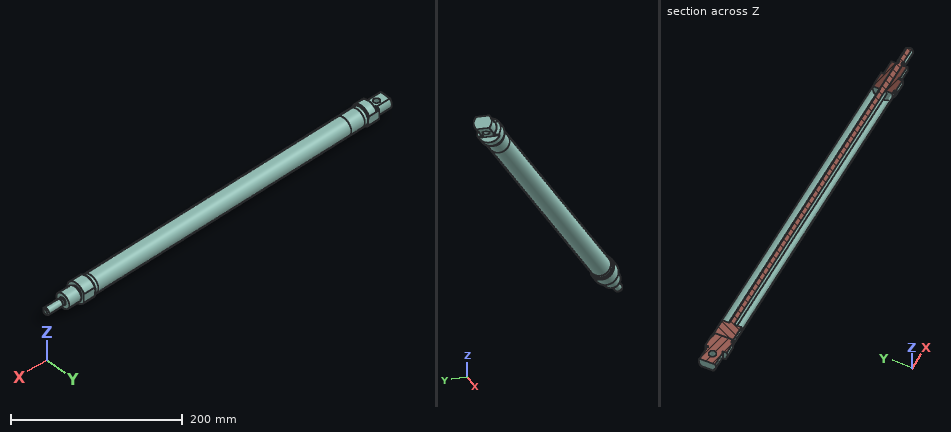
import cadquery as cq

OVERALL_LENGTH = 540.0

TUBE_DIAMETER = 27.0
TUBE_BORE = 25.5

COLLAR_DIAMETER = 30.0
COLLAR_CHAMFER = 1.0
COLLAR_FLAT_Y = 13.5

NOSE_DIAMETER = 22.0
RELIEF_DIAMETER = 20.0
RELIEF_WIDTH = 1.0
RELIEF_RUNOUT = (NOSE_DIAMETER - RELIEF_DIAMETER) / 2

REAR_COLLAR_START = 22.0
REAR_COLLAR_END = 39.5
REAR_SPIGOT_END = 44.5
EYE_THICKNESS = 15.5
EYE_FLAT_LENGTH = 26.5
EYE_HOLE_DIAMETER = 8.5
EYE_HOLE_X = 14.0

FRONT_SPIGOT_START = 467.0
FRONT_COLLAR_START = 472.5
FRONT_COLLAR_END = 491.0
FRONT_NOSE_END = 512.0

PISTON_END = 66.0
ROD_DIAMETER = 10.0
ROD_NECK_DIAMETER = 8.5
ROD_NECK_START = 513.0
ROD_NECK_END = 515.5
ROD_TIP_CHAMFER = 1.5
ROD_NECK_CHAMFER = (ROD_DIAMETER - ROD_NECK_DIAMETER) / 2


def cylinder(diameter, start, end):
    """Solid cylinder on the X axis between two X positions."""
    return cq.Workplane("YZ").workplane(offset=start).circle(diameter / 2).extrude(end - start)


def collar(start, end, tube_side):
    """Cap collar with its flat on the +Y side and a chamfer on the face towards the tube."""
    beyond_flat = (
        cq.Workplane("XY")
        .box(end - start, COLLAR_DIAMETER, COLLAR_DIAMETER, centered=(False, False, True))
        .translate((start, COLLAR_FLAT_Y, 0))
    )
    ring = cylinder(COLLAR_DIAMETER, start, end).faces(tube_side).chamfer(COLLAR_CHAMFER)
    return ring.cut(beyond_flat)


def make_rear_cap():
    relief_start = REAR_COLLAR_START - RELIEF_WIDTH
    nose = cylinder(NOSE_DIAMETER, 0, relief_start).faces(">X").chamfer(RELIEF_RUNOUT)
    cap = (
        nose
        .union(cylinder(RELIEF_DIAMETER, relief_start, REAR_COLLAR_START))
        .union(collar(REAR_COLLAR_START, REAR_COLLAR_END, ">X"))
        .union(cylinder(TUBE_BORE, REAR_COLLAR_END, REAR_SPIGOT_END))
    )

    for side in (1, -1):
        flat_cut = cq.Workplane("XY").box(
            EYE_FLAT_LENGTH, COLLAR_DIAMETER, COLLAR_DIAMETER, centered=(False, True, True)
        )
        cap = cap.cut(flat_cut.translate((0, 0, side * (EYE_THICKNESS + COLLAR_DIAMETER) / 2)))

    eye_hole = (
        cq.Workplane("XY")
        .center(EYE_HOLE_X, 0)
        .circle(EYE_HOLE_DIAMETER / 2)
        .extrude(EYE_THICKNESS, both=True)
    )
    return cap.cut(eye_hole)


def make_tube():
    outside = cylinder(TUBE_DIAMETER, REAR_COLLAR_END, FRONT_COLLAR_START)
    return outside.cut(cylinder(TUBE_BORE, REAR_COLLAR_END, FRONT_COLLAR_START))


def make_front_cap():
    relief_end = FRONT_COLLAR_END + RELIEF_WIDTH
    nose = cylinder(NOSE_DIAMETER, relief_end, FRONT_NOSE_END).faces("<X").chamfer(RELIEF_RUNOUT)
    cap = (
        cylinder(TUBE_BORE, FRONT_SPIGOT_START, FRONT_COLLAR_START)
        .union(collar(FRONT_COLLAR_START, FRONT_COLLAR_END, "<X"))
        .union(cylinder(RELIEF_DIAMETER, FRONT_COLLAR_END, relief_end))
        .union(nose)
    )
    return cap.cut(cylinder(ROD_DIAMETER, FRONT_SPIGOT_START, FRONT_NOSE_END))


def make_piston_rod():
    piston = cylinder(TUBE_BORE, REAR_SPIGOT_END, PISTON_END)
    rod = cylinder(ROD_DIAMETER, PISTON_END, ROD_NECK_START)
    neck = cylinder(ROD_NECK_DIAMETER, ROD_NECK_START, ROD_NECK_END)
    thread = (
        cylinder(ROD_DIAMETER, ROD_NECK_END, OVERALL_LENGTH)
        .faces(">X")
        .chamfer(ROD_TIP_CHAMFER)
        .faces("<X")
        .chamfer(ROD_NECK_CHAMFER)
    )
    return piston.union(rod).union(neck).union(thread)


rear_cap = make_rear_cap()
tube = make_tube()
front_cap = make_front_cap()
piston_rod = make_piston_rod()

result = cq.Compound.makeCompound(
    [rear_cap.val(), tube.val(), front_cap.val(), piston_rod.val()]
)